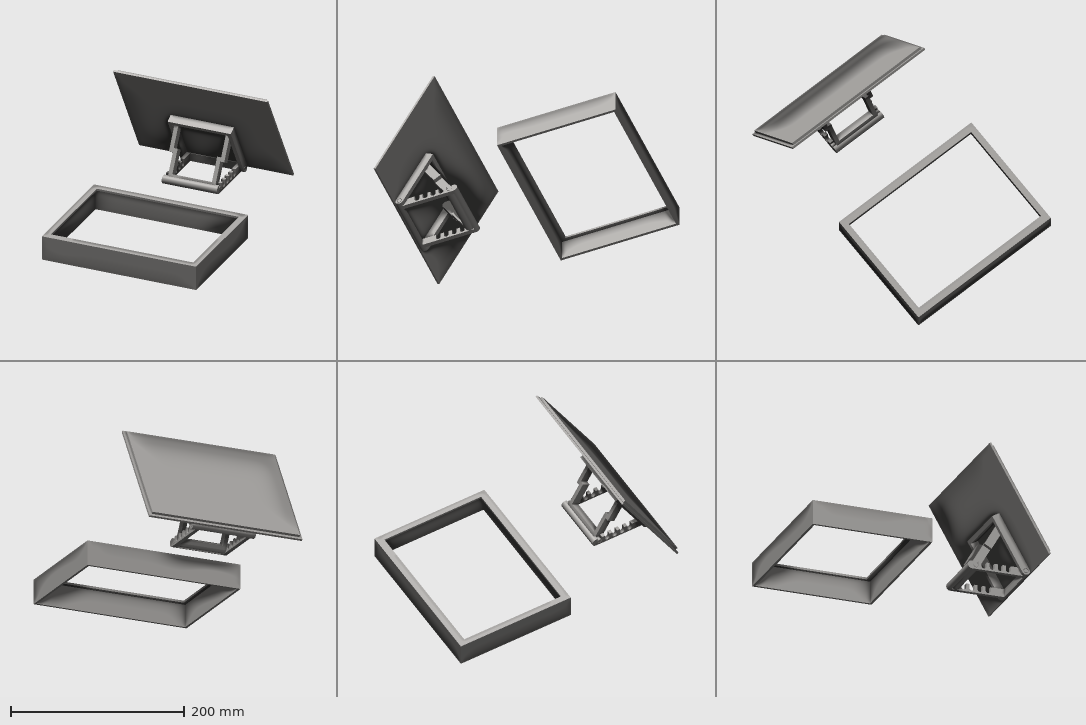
import cadquery as cq


bar_depth = 10.0
bar_width = 5.0
end_radius = bar_depth / 2
pin_diameter = 5.0
slot_width = 6.01

plate_width = 195.0
plate_height = 148.0
plate_thickness = 2.5
plate_below_hinge = 4.25
plate_top = plate_height - plate_below_hinge
step_margin = 3.5
step_thickness = 3.0
lean_angle = 60.0

bracket_width = 80.0
bracket_top = 75.0
bracket_inner_width = bracket_width - 2 * bar_width

base_width = bracket_inner_width
base_inner_width = base_width - 2 * bar_width
nose_center = 65.0
first_slot = 20.0
slot_pitch = 10.0
slot_count = 5
last_slot = first_slot + (slot_count - 1) * slot_pitch

strut_length = 60.0
strut_upper_width = bracket_inner_width
strut_lower_width = strut_upper_width - 2 * bar_width
strut_inner_width = strut_lower_width - 2 * bar_width
upper_leg_start = strut_length / 2
lower_leg_end = upper_leg_start + bar_width
foot_bar_top = 5.0

frame_width = plate_width
frame_depth = plate_height
frame_height = 30.0
frame_wall = 3.0
opening_width = 180.0
opening_depth = 130.0
lip_thickness = 2.5
frame_center_x = 9.0
frame_center_y = -215.71
frame_bottom = -13.03


def centered_box(width, y_min, y_max, z_min, z_max):
    """A box with its width centred on X = 0."""
    block = cq.Workplane("XY").box(width, y_max - y_min, z_max - z_min)
    return block.translate((0, (y_min + y_max) / 2, (z_min + z_max) / 2))


def bar_box(width, z_min, z_max):
    """An upright box as deep as the bar, centred on X = 0 and Y = 0."""
    return centered_box(width, -end_radius, end_radius, z_min, z_max)


def cylinder_x(diameter, length, y=0.0, z=0.0):
    """A cylinder along X, centred on X = 0."""
    return cq.Workplane("YZ").center(y, z).circle(diameter / 2).extrude(length / 2, both=True)


def tilt(body, angle):
    """Turn a body about the X axis; a positive angle moves its top toward -Y."""
    return body.rotate((0, 0, 0), (1, 0, 0), angle)


def make_plate():
    plate_face = end_radius + plate_thickness
    plate = centered_box(plate_width, end_radius, plate_face, -plate_below_hinge, plate_top)
    step = centered_box(
        plate_width - 2 * step_margin,
        plate_face,
        plate_face + step_thickness,
        step_margin - plate_below_hinge,
        plate_top - step_margin,
    )
    return tilt(plate.union(step), 90 - lean_angle)


def make_bracket():
    outer = bar_box(bracket_width, 0, bracket_top).union(cylinder_x(bar_depth, bracket_width))
    window = bar_box(bracket_inner_width, -end_radius, bracket_top - bar_width)
    pin_hole = cylinder_x(slot_width, bracket_width)
    return tilt(outer.cut(window).cut(pin_hole), 90 - lean_angle)


def open_slot(y):
    """A round-bottomed slot through both rails, open at the top."""
    half = slot_width / 2
    mouth = centered_box(base_width, y - half, y + half, 0, end_radius)
    return mouth.union(cylinder_x(slot_width, base_width, y))


def make_base():
    body = centered_box(base_width, -nose_center, 0, -end_radius, end_radius)
    body = body.union(cylinder_x(bar_depth, base_width))
    body = body.union(cylinder_x(bar_depth, base_width, -nose_center))
    body = body.cut(centered_box(base_inner_width, -nose_center, 0, -end_radius, end_radius))
    for i in range(slot_count):
        body = body.cut(open_slot(-(first_slot + i * slot_pitch)))
    hinge_rod = cylinder_x(pin_diameter, bracket_width)
    hinge_pins = hinge_rod.cut(cylinder_x(pin_diameter, base_inner_width))
    return body.union(hinge_pins)


def make_strut():
    upper = bar_box(strut_upper_width, upper_leg_start, strut_length)
    upper = upper.union(cylinder_x(bar_depth, strut_upper_width, z=strut_length))
    upper = upper.cut(bar_box(strut_lower_width, upper_leg_start, strut_length + end_radius))

    lower = bar_box(strut_lower_width, 0, lower_leg_end)
    lower = lower.union(cylinder_x(bar_depth, strut_lower_width))
    lower = lower.cut(bar_box(strut_inner_width, foot_bar_top, lower_leg_end))

    foot_rod = cylinder_x(pin_diameter, base_width)
    upright = upper.union(lower).union(foot_rod)
    return tilt(upright, lean_angle - 90).translate((0, -last_slot, 0))


def make_frame():
    recess_width = frame_width - 2 * frame_wall
    recess_depth = frame_depth - 2 * frame_wall
    plan = cq.Workplane("XY")
    body = plan.rect(frame_width, frame_depth).extrude(frame_height)
    opening = plan.rect(opening_width, opening_depth).extrude(frame_height)
    recess = plan.rect(recess_width, recess_depth).extrude(frame_height - lip_thickness)
    body = body.cut(opening).cut(recess)
    return body.translate((frame_center_x, frame_center_y, frame_bottom))


plate = make_plate()
bracket = make_bracket()
base = make_base()
strut = make_strut()
frame = make_frame()

result = cq.Compound.makeCompound(
    [plate.val(), bracket.val(), base.val(), strut.val(), frame.val()]
)